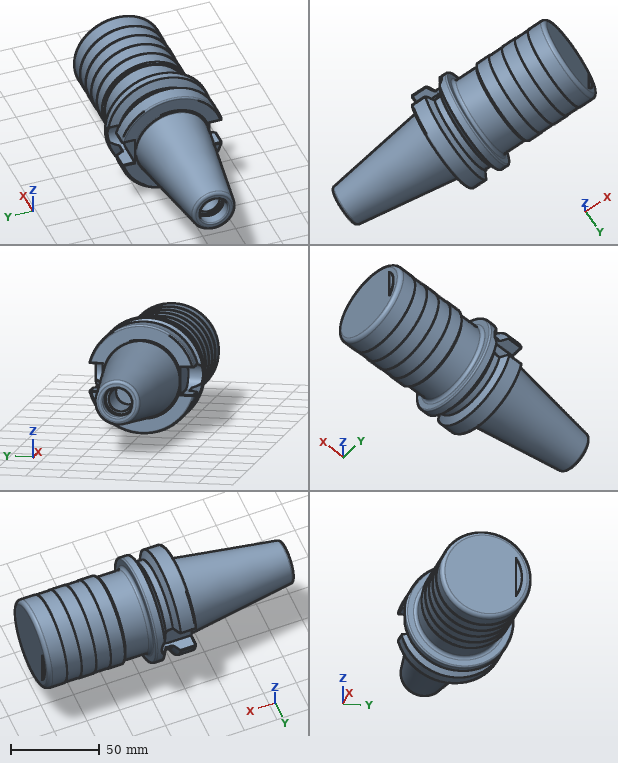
import cadquery as cq
import math

OVERALL_LENGTH = 156.6

TAPER_RATIO = 7 / 24
GAUGE_DIAMETER = 44.5
GAUGE_X = 65.5
SHANK_END_RADIUS = 1.9
SHANK_ROOT_RADIUS = 0.6

FLANGE_DIAMETER = 63.0
FLANGE_START = 67.2
FLANGE_END = 92.5
FLANGE_EDGE_RADIUS = 1.0
GROOVE_DIAMETER = 53.0
GROOVE_CENTER = 82.0
GROOVE_FLOOR_WIDTH = 4.4
GROOVE_FLANK_ANGLE = 30.0

NECK_DIAMETER = 50.0
NECK_FILLET = 2.0

HEAD_START = 108.7
HEAD_DIAMETER = 53.0
RELIEF_DIAMETER = 52.5
HEAD_CHAMFER = 1.0
HEAD_END_RADIUS = 2.5
FIRST_RELIEF = 118.1
BAND_WIDTH = 9.0
RELIEF_COUNT = 2

SEGMENT_DIAMETER = 41.7
SEGMENT_CHORD_Y = 17.4
SEGMENT_HEIGHT = 0.3
HEAD_END = OVERALL_LENGTH - SEGMENT_HEIGHT

SLOT_WIDTH = 16.0
SLOT_FLOOR_Y = 22.5
SLOT_END_X = 88.7
SLOT_EDGE_CHAMFER = 0.5

MOUTH_RADIUS = 0.8
COUNTERBORE_DIAMETER = 17.0
COUNTERBORE_DEPTH = 9.4
UNDERCUT_DIAMETER = 17.5
UNDERCUT_START = 7.5
UNDERCUT_END = 8.5
BORE_DIAMETER = 13.8
BORE_DEPTH = 29.8

groove_depth = (FLANGE_DIAMETER - GROOVE_DIAMETER) / 2
flank_run = groove_depth * math.tan(math.radians(GROOVE_FLANK_ANGLE))
groove_floor_start = GROOVE_CENTER - GROOVE_FLOOR_WIDTH / 2
groove_floor_end = GROOVE_CENTER + GROOVE_FLOOR_WIDTH / 2
groove_start = groove_floor_start - flank_run
groove_end = groove_floor_end + flank_run


def cylinder(diameter, start, end):
    """Solid cylinder on the X axis between two X positions."""
    return cq.Workplane("YZ", origin=(start, 0, 0)).circle(diameter / 2).extrude(end - start)


def make_shank():
    """Taper with a short straight collar, rounded at its end and filleted onto the flange face."""
    collar_radius = GAUGE_DIAMETER / 2
    small_radius = collar_radius - GAUGE_X * TAPER_RATIO / 2
    shank = (
        cq.Workplane("XY")
        .moveTo(0, 0)
        .lineTo(0, small_radius)
        .lineTo(GAUGE_X, collar_radius)
        .lineTo(FLANGE_START - SHANK_ROOT_RADIUS, collar_radius)
        .radiusArc((FLANGE_START, collar_radius + SHANK_ROOT_RADIUS), -SHANK_ROOT_RADIUS)
        .lineTo(FLANGE_START, 0)
        .close()
        .revolve(360, (0, 0, 0), (1, 0, 0))
    )
    return shank.faces("<X").edges().fillet(SHANK_END_RADIUS)


def make_flange():
    flange = cylinder(FLANGE_DIAMETER, FLANGE_START, FLANGE_END)
    flange = flange.faces("<X or >X").edges().fillet(FLANGE_EDGE_RADIUS)
    outer = FLANGE_DIAMETER / 2
    floor = GROOVE_DIAMETER / 2
    groove = (
        cq.Workplane("XY")
        .polyline([
            (groove_start, outer),
            (groove_floor_start, floor),
            (groove_floor_end, floor),
            (groove_end, outer),
        ])
        .close()
        .revolve(360, (0, 0, 0), (1, 0, 0))
    )
    return flange.cut(groove)


def make_neck():
    """Neck with a concave fillet running up onto the flange."""
    radius = NECK_DIAMETER / 2
    fillet_top = radius + NECK_FILLET
    fillet_end = FLANGE_END + NECK_FILLET
    return (
        cq.Workplane("XY")
        .moveTo(FLANGE_END, 0)
        .lineTo(FLANGE_END, fillet_top)
        .radiusArc((fillet_end, radius), -NECK_FILLET)
        .lineTo(HEAD_START, radius)
        .lineTo(HEAD_START, 0)
        .close()
        .revolve(360, (0, 0, 0), (1, 0, 0))
    )


def make_head():
    head = cylinder(HEAD_DIAMETER, HEAD_START, HEAD_END)
    head = head.faces("<X").edges().chamfer(HEAD_CHAMFER)
    head = head.faces(">X").edges().fillet(HEAD_END_RADIUS)
    for index in range(RELIEF_COUNT):
        start = FIRST_RELIEF + 2 * index * BAND_WIDTH
        sleeve = cylinder(HEAD_DIAMETER, start, start + BAND_WIDTH)
        head = head.cut(sleeve.cut(cylinder(RELIEF_DIAMETER, start, start + BAND_WIDTH)))
    return head


def make_end_segment():
    """Thin raised segment between a chord and its arc, on the +Y side of the end face."""
    radius = SEGMENT_DIAMETER / 2
    half_chord = math.sqrt(radius**2 - SEGMENT_CHORD_Y**2)
    return (
        cq.Workplane("YZ", origin=(HEAD_END, 0, 0))
        .moveTo(SEGMENT_CHORD_Y, -half_chord)
        .threePointArc((radius, 0), (SEGMENT_CHORD_Y, half_chord))
        .close()
        .extrude(SEGMENT_HEIGHT)
    )


def make_drive_slots():
    """Pair of slots open toward the shank, each with a round end in the rear land."""
    half_width = SLOT_WIDTH / 2
    arc_center = SLOT_END_X - half_width
    slot_start = FLANGE_START - SHANK_ROOT_RADIUS
    slot = (
        cq.Workplane("XZ", origin=(0, -SLOT_FLOOR_Y, 0))
        .moveTo(slot_start, -half_width)
        .lineTo(arc_center, -half_width)
        .threePointArc((SLOT_END_X, 0), (arc_center, half_width))
        .lineTo(slot_start, half_width)
        .close()
        .extrude(FLANGE_DIAMETER / 2 - SLOT_FLOOR_Y)
    )
    return slot.union(slot.mirror("XZ"))


def chamfer_slot_edges(body):
    """Chamfer the slot edges on the front face, the front land and the rear land."""
    tolerance = 0.02
    half_width = SLOT_WIDTH / 2
    rear_edge_min_y = (SLOT_FLOOR_Y + FLANGE_DIAMETER / 2) / 2
    edges = []
    for edge in body.edges().vals():
        distance_y = abs(edge.Center().y)
        box = edge.BoundingBox()
        lies_on_side_wall = (
            abs(abs(edge.Center().z) - half_width) < tolerance
            and box.zlen < tolerance
            and distance_y > SLOT_FLOOR_Y + tolerance
        )
        lies_in_front_land = FLANGE_START - tolerance < box.xmin and box.xmax < groove_start + tolerance
        borders_rear_land = (
            groove_floor_end < box.xmin
            and abs(box.xmax - SLOT_END_X) < tolerance
            and distance_y > rear_edge_min_y
        )
        if (lies_on_side_wall and lies_in_front_land) or borders_rear_land:
            edges.append(edge)
    return body.newObject(edges).chamfer(SLOT_EDGE_CHAMFER)


def make_bore():
    """Counterbore with a rounded mouth and an undercut, then a smaller blind bore."""
    counterbore_radius = COUNTERBORE_DIAMETER / 2
    bore_radius = BORE_DIAMETER / 2
    bore = (
        cq.Workplane("XY")
        .moveTo(0, 0)
        .lineTo(0, counterbore_radius + MOUTH_RADIUS)
        .radiusArc((MOUTH_RADIUS, counterbore_radius), -MOUTH_RADIUS)
        .lineTo(COUNTERBORE_DEPTH, counterbore_radius)
        .lineTo(COUNTERBORE_DEPTH, bore_radius)
        .lineTo(BORE_DEPTH, bore_radius)
        .lineTo(BORE_DEPTH, 0)
        .close()
        .revolve(360, (0, 0, 0), (1, 0, 0))
    )
    return bore.union(cylinder(UNDERCUT_DIAMETER, UNDERCUT_START, UNDERCUT_END))


holder = make_shank().union(make_flange()).union(make_neck()).union(make_head())
holder = chamfer_slot_edges(holder.cut(make_drive_slots()))
result = holder.union(make_end_segment()).cut(make_bore())